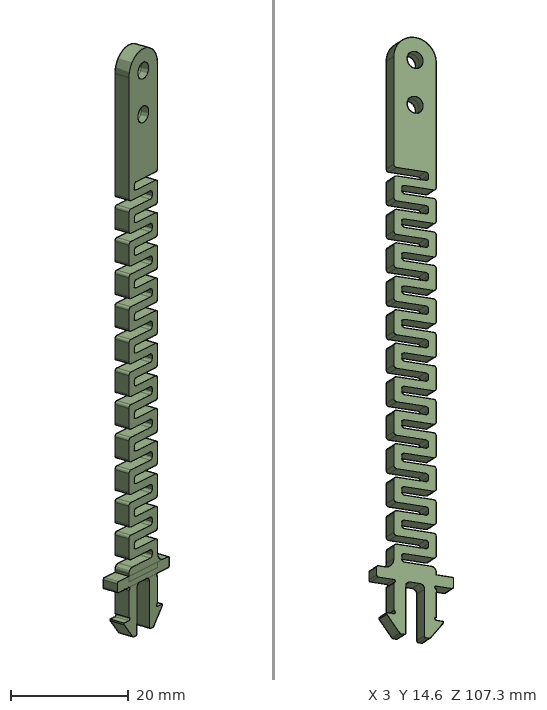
import cadquery as cq

LENGTH = 107.3
THICKNESS = 3.0

STRAP_WIDTH = 8.0
HALF_WIDTH = STRAP_WIDTH / 2
HOLE_DIAMETER = 3.0
HOLE_SPACING = 8.0
DOME_CENTRE_Z = LENGTH - HALF_WIDTH

FLANGE_WIDTH = 14.6
FLANGE_BOTTOM_Z = 9.5
FLANGE_HEIGHT = 2.0
FLANGE_TOP_Z = FLANGE_BOTTOM_Z + FLANGE_HEIGHT
FLANGE_FILLET = 1.7
FLANGE_CORNER_RADIUS = 0.3

SLOTS_PER_SIDE = 12
SLOT_WIDTH = 1.5
WEB_WIDTH = 1.5
SLOT_LENGTH = STRAP_WIDTH - WEB_WIDTH
LOWEST_SLOT_Z = 13.7
HIGHEST_SLOT_Z = 82.7
SLOT_COUNT = 2 * SLOTS_PER_SIDE
SLOT_STEP = (HIGHEST_SLOT_Z - LOWEST_SLOT_Z) / (SLOT_COUNT - 1)
CORNER_RADIUS = 0.5
FOOT_CORNER_RADIUS = 1.0

LEG_GAP = 3.5
GAP_FILLET = 0.9
BARB_WIDTH = 10.7
BARB_TOP_Z = 3.4
BARB_LIP = 0.3
TIP_WIDTH = 1.1
TIP_RADIUS = 0.3
RELIEF_RADIUS = 0.27


def plate(width, bottom_z, top_z, centre_y=0.0):
    """Full-thickness rectangle in the YZ plane."""
    height = top_z - bottom_z
    return cq.Workplane("XY").box(THICKNESS, width, height).translate((0, centre_y, bottom_z + height / 2))


def disc(diameter, y, z):
    """Full-thickness round along X."""
    return (
        cq.Workplane("YZ")
        .center(y, z)
        .circle(diameter / 2)
        .extrude(THICKNESS / 2, both=True)
    )


def make_strap():
    """Slotted strap; its foot ends inside the flange."""
    foot_z = FLANGE_BOTTOM_Z + FLANGE_HEIGHT / 2
    strap = (
        cq.Workplane("YZ")
        .moveTo(-HALF_WIDTH, foot_z)
        .lineTo(HALF_WIDTH, foot_z)
        .lineTo(HALF_WIDTH, DOME_CENTRE_Z)
        .threePointArc((0, LENGTH), (-HALF_WIDTH, DOME_CENTRE_Z))
        .close()
        .extrude(THICKNESS / 2, both=True)
    )
    for i in range(SLOT_COUNT):
        open_side = -1 if i % 2 == 0 else 1
        z = LOWEST_SLOT_Z + i * SLOT_STEP
        centre_y = open_side * (STRAP_WIDTH - SLOT_LENGTH) / 2
        strap = strap.cut(plate(SLOT_LENGTH, z - SLOT_WIDTH / 2, z + SLOT_WIDTH / 2, centre_y))

    lowest_slot_bottom = LOWEST_SLOT_Z - SLOT_WIDTH / 2
    foot_corner = cq.selectors.NearestToPointSelector((0, -HALF_WIDTH, lowest_slot_bottom))
    strap = strap.edges("|X").edges(foot_corner).fillet(FOOT_CORNER_RADIUS)
    lowest_slot_end = cq.selectors.NearestToPointSelector((0, HALF_WIDTH - WEB_WIDTH, lowest_slot_bottom))
    strap = strap.edges("|X").edges(lowest_slot_end).fillet(CORNER_RADIUS)
    other_corners = cq.selectors.BoxSelector(
        (-THICKNESS, -STRAP_WIDTH, LOWEST_SLOT_Z),
        (THICKNESS, STRAP_WIDTH, HIGHEST_SLOT_Z + SLOT_WIDTH),
    )
    strap = strap.edges("|X").edges(other_corners).fillet(CORNER_RADIUS)

    for z in (DOME_CENTRE_Z, DOME_CENTRE_Z - HOLE_SPACING):
        strap = strap.cut(disc(HOLE_DIAMETER, 0, z))
    return strap


def make_leg():
    """Barbed leg on the +Y side."""
    inner_y = LEG_GAP / 2
    leg = (
        cq.Workplane("YZ")
        .moveTo(inner_y, 0)
        .lineTo(inner_y + TIP_WIDTH, 0)
        .lineTo(BARB_WIDTH / 2, BARB_TOP_Z - BARB_LIP)
        .lineTo(BARB_WIDTH / 2, BARB_TOP_Z)
        .lineTo(HALF_WIDTH, BARB_TOP_Z)
        .lineTo(HALF_WIDTH, FLANGE_BOTTOM_Z)
        .lineTo(inner_y, FLANGE_BOTTOM_Z)
        .close()
        .extrude(THICKNESS / 2, both=True)
    )
    return leg.faces("<Z").edges("|X").fillet(TIP_RADIUS)


flange = plate(FLANGE_WIDTH, FLANGE_BOTTOM_Z, FLANGE_TOP_Z).edges("|X").fillet(FLANGE_CORNER_RADIUS)
leg = make_leg()
body = make_strap().union(flange).union(leg).union(leg.mirror("XZ"))

strap_foot = cq.selectors.NearestToPointSelector((0, HALF_WIDTH, FLANGE_TOP_Z))
body = body.edges("|X").edges(strap_foot).fillet(FLANGE_FILLET)
for side in (-1, 1):
    gap_corner = cq.selectors.NearestToPointSelector((0, side * LEG_GAP / 2, FLANGE_BOTTOM_Z))
    body = body.edges("|X").edges(gap_corner).fillet(GAP_FILLET)

for side in (-1, 1):
    for z in (BARB_TOP_Z + RELIEF_RADIUS, FLANGE_BOTTOM_Z - RELIEF_RADIUS):
        body = body.cut(disc(2 * RELIEF_RADIUS, side * HALF_WIDTH, z))

result = body